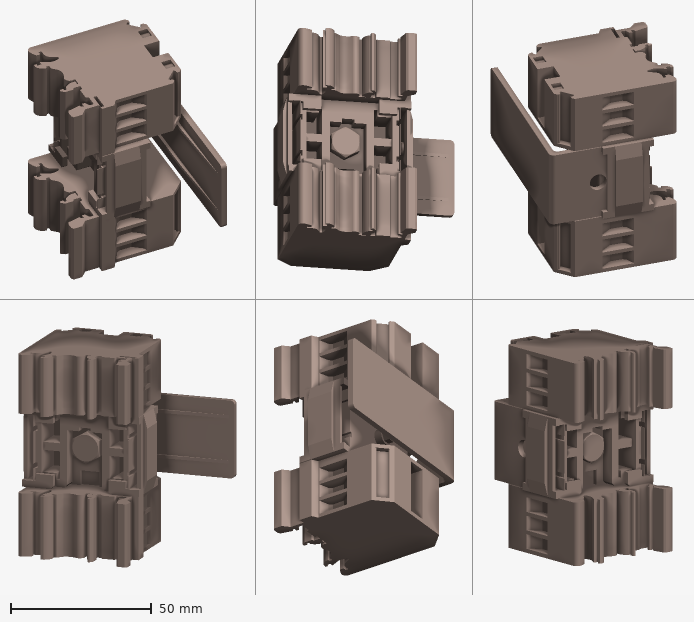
import cadquery as cq
import math


BLOCK_WIDTH = 40.1
BLOCK_DEPTH = 36.3
BLOCK_CHAMFER = 5.9
MODULE_COUNT = 3
MODULE_PITCH = 6.7
END_PLATE = 1.5
MODULES_HEIGHT = MODULE_COUNT * MODULE_PITCH
FOOT_ROOT_Y = 0.75
FOOT_SIDE = 42.45

OPENING_WALL = 1.4
OPENING_HEIGHT = MODULE_PITCH - OPENING_WALL
OPENING_CEILING_DROP = 0.6
OPENING_PROFILE = [(0, 8.25), (3.25, 9.95), (4.0, 11.3), (4.0, 16.0), (1.3, 19.6), (0, 20.1)]

LABEL_WIDTH = 5.3
LABEL_DEPTH = 2.35
LABEL_LIP_RADIUS = 0.5

SCREW_DIAMETER = 4.3
SCREW_SINK = 0.75
WINDOW_WIDTH = 4.1
WINDOW_LENGTH = 3.6
SCREW_FRONT_Y = 31.7
SCREW_CENTERS_X = (10.3, 29.6)
NOTCH_X = 16.3
NOTCH_WIDTH = 7.45
NOTCH_DEPTH = 6.05

SLOT_X = (35.0, 41.35)
SLOT_Y = (1.55, 2.8)

CARRIER_HEIGHT = 29.05
FLANGE_OVERHANG = 1.6
CARRIER_WIDTH = 44.3
CARRIER_BACK_Y = 20.4
CORE_FRONT_Y = 5.45
FLANGE_FRONT_Y = 3.3
CARRIER_CENTER_X = CARRIER_WIDTH / 2 - FLANGE_OVERHANG
FLANGE_BACK_Y = 18.7
FLANGE_WINDOW = 23.7

PAD_OUTER_Y = 1.4
PAD_LENGTH = 11.65
PAD_STEP_X = 3.55
PAD_CORNER = 0.9
PAD_BAR = 2.6
PAD_FULL = 5.1

SIDE_SLOT_X = (-0.2, 2.4)
SIDE_SLOT_HEIGHT = 24.2
SLOT_RIM = 0.2
SIDE_NOTCH_DEPTH = PAD_STEP_X - SIDE_SLOT_X[1]
SIDE_NOTCH_HEIGHT = 1.9
SIDE_NOTCH_Z = 6.8

CORE_POCKET_X = (4.95, 11.1)
CORE_POCKET_Z = (1.5, 9.5)
CORE_POCKET_DEPTH = 10.3
CORE_POCKET_LEDGE_X = (9.95, 11.1)
CORE_POCKET_LEDGE_Z = 12.0

BUMP_OVERHANG = 1.3
BUMP_Y = (6.05, 16.0)
BUMP_TIP_HEIGHT = 19.0

STUD_DIAMETER = 5.0
STUD_LENGTH = 0.9
STUD_Y = 11.05

BOLT_X = 20.05
BOLT_POCKET_WIDTH = 13.3
BOLT_POCKET_TOP = 6.5
BOLT_POCKET_CORNER = 0.95
BOLT_POCKET_DEPTH = 5.3
BOLT_TAB_WIDTH = 4.4
BOLT_TAB_HEIGHT = 1.4
BOLT_POCKET_FLOOR_Y = CORE_FRONT_Y + BOLT_POCKET_DEPTH
HEAD_ACROSS_FLATS = 10.1
HEAD_FACE_DIAMETER = 9.7
HEAD_HEIGHT = 3.3
HEAD_CHAMFER_ANGLE = 30
SHANK_DIAMETER = 6.5
SHANK_END_Y = 23.3
TIP_ACROSS_CORNERS = 5.2
TIP_LENGTH = 2.2
RECESS_WIDTH = 7.2
RECESS_HEIGHT = 5.4
RECESS_DEPTH = 1.5

PLATE = 2.2
BRACKET_LENGTH = 65.2
BRACKET_BACK_Y = 39.65
BRACKET_HEIGHT = 28.45
BRACKET_BEND_RADIUS = 1.9
BRACKET_CORNER_RADIUS = 1.5
LEG_TAB_HEIGHT = 23.4
LEG_TAB_END_Y = 14.75
LEG_TAB_BEVEL = 1.1
LEG_HOLE_DIAMETER = 6.3
LEG_HOLE_Y = 21.75
RIB_TAPER_X = (33.9, 63.1)
RIB_HEIGHT = 1.1
RIB_GUSSET = 3.7
RIB_WIDTH = 1.2
RIB_Z = 8.25


def box(x, y, z):
    """Box from the (low, high) limits on each axis."""
    size = [high - low for low, high in (x, y, z)]
    return cq.Workplane("XY").box(*size, centered=False).translate((x[0], y[0], z[0]))


def both_sides(shape):
    """The shape together with its mirror image across the carrier's middle X plane."""
    return shape.union(shape.mirror("YZ", (CARRIER_CENTER_X, 0, 0)))


def body_outline():
    """Body of a block without its feet, with the foot hinge on the right."""
    return cq.Workplane("XY").polyline([
        (0, 0),
        (0, BLOCK_DEPTH - BLOCK_CHAMFER),
        (BLOCK_CHAMFER, BLOCK_DEPTH),
        (BLOCK_WIDTH - BLOCK_CHAMFER, BLOCK_DEPTH),
        (BLOCK_WIDTH, BLOCK_DEPTH - BLOCK_CHAMFER),
        (BLOCK_WIDTH, 7.8),
        (FOOT_SIDE, 6.35),
        (FOOT_SIDE, 1.4),
        (BLOCK_WIDTH, 1.4),
        (BLOCK_WIDTH, 0),
    ]).close()


def left_hook():
    """Rounded hook and forked foot at the left, up to the arched underside."""
    return (
        cq.Workplane("XY").moveTo(0, FOOT_ROOT_Y).lineTo(0, -6.05)
        .threePointArc((0.5, -7.6), (1.9, -8.1))
        .threePointArc((3.55, -7.5), (5.1, -6.55))
        .lineTo(5.1, -5.1).lineTo(3.7, -5.1).lineTo(3.7, -4.0).lineTo(5.6, -4.0)
        .threePointArc((6.9, -3.55), (7.95, -2.6))
        .lineTo(9.2, 0).lineTo(10.0, 0)
        .threePointArc((10.6, -1.7), (10.55, -3.7))
        .lineTo(9.0, -7.15).lineTo(10.4, -7.15).lineTo(10.4, -8.7)
        .lineTo(9.5, -8.7).lineTo(9.5, -9.7).lineTo(10.75, -9.7)
        .threePointArc((12.45, -8.3), (13.1, -6.3))
        .lineTo(12.3, -6.3).lineTo(12.3, -5.1).lineTo(13.9, -5.1).lineTo(15.8, -3.1)
        .threePointArc((18.05, -2.4), (20.5, -3.2))
        .threePointArc((22.6, -2.8), (23.15, -0.75))
        .lineTo(23.15, FOOT_ROOT_Y).close()
    )


def middle_foot():
    """Slim hooked foot in the middle."""
    return (
        cq.Workplane("XY").moveTo(24.3, -0.45)
        .threePointArc((24.55, -2.95), (26.2, -5.1))
        .lineTo(27.1, -5.1).lineTo(27.1, -6.1).lineTo(26.3, -6.1).lineTo(26.3, -7.2)
        .lineTo(26.6, -7.6).lineTo(27.3, -7.6)
        .lineTo(28.2, -6.1).lineTo(28.2, -3.1).lineTo(27.4, -2.6)
        .lineTo(27.4, 0).lineTo(25.9, 0).lineTo(25.9, -0.45).close()
    )


def rail_rest():
    """Shallow rest between the middle foot and the release foot."""
    return cq.Workplane("XY").polyline([(29.2, 0), (29.4, -1.0), (34.3, -1.0), (34.65, 0)]).close()


def release_foot():
    """Springy release foot at the right."""
    return cq.Workplane("XY").polyline([
        (38.3, 0), (38.7, -0.3), (38.7, -1.7), (36.8, -2.65), (36.8, -3.75), (38.3, -3.75),
        (38.1, -4.7), (37.3, -5.0), (38.3, -9.7), (39.1, -10.25), (41.5, -10.25),
        (FOOT_SIDE, -9.65), (FOOT_SIDE, -6.35), (BLOCK_WIDTH, -4.05), (BLOCK_WIDTH, 0),
    ]).close()


def block_prism(height):
    """Full block section, feet included, standing on Z = 0."""
    prism = body_outline().extrude(height)
    for foot in (left_hook(), middle_foot(), rail_rest(), release_foot()):
        prism = prism.union(foot.extrude(height))
    return prism


def label_groove():
    """Groove in the left chamfered corner, with a round lip on each side wall."""
    groove = cq.Workplane("XY").rect(LABEL_WIDTH, 2 * LABEL_DEPTH).extrude(MODULES_HEIGHT)
    lips = (
        cq.Workplane("XY")
        .pushPoints([(-LABEL_WIDTH / 2, -LABEL_DEPTH / 3), (LABEL_WIDTH / 2, -LABEL_DEPTH / 3)])
        .circle(LABEL_LIP_RADIUS).extrude(MODULES_HEIGHT)
    )
    middle = BLOCK_CHAMFER / 2
    return (
        groove.cut(lips)
        .rotate((0, 0, 0), (0, 0, 1), 45)
        .translate((middle, BLOCK_DEPTH - middle, 0))
    )


def mirror_in_block(shape):
    return shape.mirror("YZ", (BLOCK_WIDTH / 2, 0, 0))


def wire_opening():
    """Funnel in the left side, with a ceiling that slopes down inwards."""
    funnel = cq.Workplane("XY").polyline(OPENING_PROFILE).close().extrude(OPENING_HEIGHT)
    depth = max(x for x, _ in OPENING_PROFILE)
    under_ceiling = (
        cq.Workplane("XZ")
        .polyline([(0, 0), (0, OPENING_HEIGHT), (depth, OPENING_HEIGHT - OPENING_CEILING_DROP), (depth, 0)])
        .close().extrude(-BLOCK_DEPTH)
    )
    return funnel.intersect(under_ceiling)


def screw_window():
    """Window in the top face that bares the upper half of a screw lying along Y."""
    axis_z = -SCREW_SINK - SCREW_DIAMETER / 2
    window = box((-WINDOW_WIDTH / 2, WINDOW_WIDTH / 2), (0, WINDOW_LENGTH), (axis_z, 0))
    screw = (
        cq.Workplane("XZ", origin=(0, 0, axis_z))
        .circle(SCREW_DIAMETER / 2).extrude(-WINDOW_LENGTH)
    )
    return window.cut(screw)


def terminal_modules():
    """Stack of terminal modules, standing on Z = 0."""
    stack = block_prism(MODULES_HEIGHT)

    groove = label_groove()
    stack = stack.cut(groove).cut(mirror_in_block(groove))

    for index in range(MODULE_COUNT):
        opening = wire_opening().translate((0, 0, index * MODULE_PITCH))
        stack = stack.cut(opening).cut(mirror_in_block(opening))

    for center_x in SCREW_CENTERS_X:
        stack = stack.cut(screw_window().translate((center_x, SCREW_FRONT_Y, MODULES_HEIGHT)))

    stack = stack.cut(box(
        (NOTCH_X, NOTCH_X + NOTCH_WIDTH),
        (BLOCK_DEPTH - NOTCH_DEPTH, BLOCK_DEPTH),
        (0, MODULES_HEIGHT),
    ))
    return stack.cut(box(SLOT_X, SLOT_Y, (0, MODULES_HEIGHT)))


def end_plate():
    return block_prism(END_PLATE)


def carrier_flange():
    """Left flange with its lowered middle part and the tapered bump on its side."""
    half = CARRIER_HEIGHT / 2
    window = FLANGE_WINDOW / 2
    left = -FLANGE_OVERHANG
    flange = box((left, SIDE_SLOT_X[1]), (FLANGE_FRONT_Y, CARRIER_BACK_Y), (-half, half))
    flange = flange.cut(box((left, 0), (FLANGE_BACK_Y, CARRIER_BACK_Y), (-window, window)))
    tip = left - BUMP_OVERHANG
    bump = (
        cq.Workplane("XZ", origin=(0, BUMP_Y[0], 0))
        .polyline([(left, -half), (tip, -BUMP_TIP_HEIGHT / 2), (tip, BUMP_TIP_HEIGHT / 2), (left, half)])
        .close().extrude(BUMP_Y[0] - BUMP_Y[1])
    )
    return flange.union(bump)


def carrier_pad(side):
    """L-shaped pad on the front; side is 1 for the upper and -1 for the lower one."""
    half = CARRIER_HEIGHT / 2
    left = -FLANGE_OVERHANG
    right = left + PAD_LENGTH
    depth = (PAD_OUTER_Y, FLANGE_FRONT_Y)
    bar = box((left, right), depth, (half - PAD_BAR, half))
    step = box((PAD_STEP_X, right), depth, (half - PAD_FULL, half))
    pad = bar.union(step)
    if side > 0:
        return pad
    return pad.mirror("XY").edges("|Y and >X and <Z").chamfer(PAD_CORNER)


def slot_wall():
    """Stepped wall along the inner edge of the left slot; its thin rim is level with the pads."""
    half = CARRIER_HEIGHT / 2
    wall = box((SIDE_SLOT_X[1], CORE_POCKET_X[0]), (FLANGE_FRONT_Y, CORE_FRONT_Y), (-half, half))
    rim = box((SIDE_SLOT_X[1], SIDE_SLOT_X[1] + SLOT_RIM), (PAD_OUTER_Y, FLANGE_FRONT_Y), (-half, half))
    return wall.union(rim)


def left_side_cuts():
    """Slot for the bracket tab and the two blind pockets, on the left half."""
    slot_half = SIDE_SLOT_HEIGHT / 2
    cuts = box(SIDE_SLOT_X, (0, CARRIER_BACK_Y), (-slot_half, slot_half))
    depth = (CORE_FRONT_Y, CORE_FRONT_Y + CORE_POCKET_DEPTH)
    for side in (1, -1):
        notch_z = side * SIDE_NOTCH_Z
        cuts = cuts.union(box(
            (SIDE_SLOT_X[1], SIDE_SLOT_X[1] + SIDE_NOTCH_DEPTH),
            (0, CARRIER_BACK_Y),
            (notch_z - SIDE_NOTCH_HEIGHT / 2, notch_z + SIDE_NOTCH_HEIGHT / 2),
        ))
        pocket = box(CORE_POCKET_X, depth, CORE_POCKET_Z)
        pocket = pocket.union(box(CORE_POCKET_LEDGE_X, depth, (CORE_POCKET_Z[0], CORE_POCKET_LEDGE_Z)))
        cuts = cuts.union(pocket if side > 0 else pocket.mirror("XY"))
    return cuts


def flange_stud():
    """Short round stud that points inwards from the right flange."""
    flange_inner_x = 2 * CARRIER_CENTER_X - SIDE_SLOT_X[0]
    return (
        cq.Workplane("YZ", origin=(flange_inner_x - STUD_LENGTH, STUD_Y, 0))
        .circle(STUD_DIAMETER / 2).extrude(STUD_LENGTH)
    )


def bolt_pocket():
    """Front pocket around the bolt head, open and flared at the bottom, with a tab on top."""
    half = BOLT_POCKET_WIDTH / 2
    bottom = -CARRIER_HEIGHT / 2
    depth = (CORE_FRONT_Y, BOLT_POCKET_FLOOR_Y)
    center = CARRIER_CENTER_X
    pocket = box((center - half, center + half), depth, (bottom, BOLT_POCKET_TOP))
    tab = box(
        (center - BOLT_TAB_WIDTH / 2, center + BOLT_TAB_WIDTH / 2),
        depth,
        (0, BOLT_POCKET_TOP + BOLT_TAB_HEIGHT),
    )
    flare = (
        cq.Workplane("XZ", origin=(center, CORE_FRONT_Y, bottom))
        .polyline([
            (-half - BOLT_POCKET_CORNER, 0), (half + BOLT_POCKET_CORNER, 0),
            (half, BOLT_POCKET_CORNER), (-half, BOLT_POCKET_CORNER),
        ])
        .close().extrude(-BOLT_POCKET_DEPTH)
    )
    return pocket.union(tab).union(flare)


def bolt():
    """Chamfered hexagon head, round shank and hexagonal tip, along Y."""
    corner_diameter = HEAD_ACROSS_FLATS / math.cos(math.pi / 6)
    front_y = BOLT_POCKET_FLOOR_Y - HEAD_HEIGHT
    head = (
        cq.Workplane("XZ").polygon(6, corner_diameter).extrude(-HEAD_HEIGHT)
        .rotate((0, 0, 0), (0, 1, 0), 30)
    )
    face_radius = HEAD_FACE_DIAMETER / 2
    rim_radius = corner_diameter / 2
    bevel = (rim_radius - face_radius) * math.tan(math.radians(HEAD_CHAMFER_ANGLE))
    turned = (
        cq.Workplane("XY")
        .polyline([
            (0, 0), (face_radius, 0), (rim_radius, bevel),
            (rim_radius, HEAD_HEIGHT), (0, HEAD_HEIGHT),
        ])
        .close().revolve(360, (0, 0, 0), (0, 1, 0))
    )
    shank = cq.Workplane("XZ").circle(SHANK_DIAMETER / 2).extrude(-(SHANK_END_Y - front_y))
    tip = (
        cq.Workplane("XZ", origin=(0, SHANK_END_Y - front_y, 0))
        .polygon(6, TIP_ACROSS_CORNERS).extrude(-TIP_LENGTH)
    )
    return head.intersect(turned).union(shank).union(tip).translate((BOLT_X, front_y, 0))


def carrier():
    half = CARRIER_HEIGHT / 2
    inner = SIDE_SLOT_X[1]
    core = box(
        (inner, 2 * CARRIER_CENTER_X - inner),
        (CORE_FRONT_Y, CARRIER_BACK_Y),
        (-half, half),
    )
    core = core.union(both_sides(carrier_flange()))
    core = core.union(both_sides(slot_wall()))
    for side in (1, -1):
        core = core.union(both_sides(carrier_pad(side)))
    core = core.cut(both_sides(left_side_cuts())).cut(bolt_pocket())
    recess = box(
        (CARRIER_CENTER_X - RECESS_WIDTH / 2, CARRIER_CENTER_X + RECESS_WIDTH / 2),
        (BOLT_POCKET_FLOOR_Y, BOLT_POCKET_FLOOR_Y + RECESS_DEPTH),
        (-half, RECESS_HEIGHT - half),
    )
    return core.cut(recess).union(flange_stud()).union(bolt())


def make_housing():
    """Carrier with a terminal block above it and another one below it."""
    upper_z = CARRIER_HEIGHT / 2
    lower_top_z = -upper_z
    lower_modules_z = lower_top_z - END_PLATE - MODULES_HEIGHT
    housing = carrier()
    for plate_z in (upper_z, lower_top_z - END_PLATE, lower_modules_z - END_PLATE):
        housing = housing.union(end_plate().translate((0, 0, plate_z)))
    for modules_z in (upper_z + END_PLATE, lower_modules_z):
        housing = housing.union(terminal_modules().translate((0, 0, modules_z)))
    return housing


def make_bracket():
    """Angle plate whose leg has a tab that reaches into the left carrier slot."""
    half = BRACKET_HEIGHT / 2
    plate_front_y = BRACKET_BACK_Y - PLATE
    bracket = (
        cq.Workplane("XY", origin=(0, 0, -half))
        .polyline([
            (0, CARRIER_BACK_Y), (0, BRACKET_BACK_Y), (BRACKET_LENGTH, BRACKET_BACK_Y),
            (BRACKET_LENGTH, plate_front_y), (PLATE, plate_front_y), (PLATE, CARRIER_BACK_Y),
        ])
        .close().extrude(BRACKET_HEIGHT)
    )
    bracket = bracket.edges("|Z and <X and >Y").fillet(BRACKET_BEND_RADIUS)
    inner_bend = cq.selectors.NearestToPointSelector((PLATE, plate_front_y, 0))
    bracket = bracket.edges("|Z").edges(inner_bend).fillet(BRACKET_BEND_RADIUS)
    bracket = bracket.edges("|Y and >X").fillet(BRACKET_CORNER_RADIUS)

    tab = (
        cq.Workplane("XY", origin=(0, 0, -LEG_TAB_HEIGHT / 2))
        .polyline([
            (0, CARRIER_BACK_Y), (PLATE, CARRIER_BACK_Y), (PLATE, LEG_TAB_END_Y),
            (LEG_TAB_BEVEL, LEG_TAB_END_Y), (0, LEG_TAB_END_Y + PLATE),
        ])
        .close().extrude(LEG_TAB_HEIGHT)
    )
    hole = (
        cq.Workplane("YZ", origin=(0, LEG_HOLE_Y, 0))
        .circle(LEG_HOLE_DIAMETER / 2).extrude(PLATE)
    )
    bracket = bracket.union(tab).cut(hole)

    rib_front_y = plate_front_y - RIB_HEIGHT
    rib_root_x = PLATE / 2
    rib_root_y = plate_front_y + PLATE / 2
    for rib_z in (RIB_Z, -RIB_Z):
        rib = (
            cq.Workplane("XY", origin=(0, 0, rib_z - RIB_WIDTH / 2))
            .polyline([
                (rib_root_x, rib_root_y),
                (rib_root_x, rib_front_y - RIB_GUSSET),
                (PLATE, rib_front_y - RIB_GUSSET),
                (PLATE + RIB_GUSSET, rib_front_y),
                (RIB_TAPER_X[0], rib_front_y),
                (RIB_TAPER_X[1], plate_front_y),
                (RIB_TAPER_X[1], rib_root_y),
            ])
            .close().extrude(RIB_WIDTH)
        )
        bracket = bracket.union(rib)
    return bracket


housing = make_housing()
bracket = make_bracket()
result = cq.Compound.makeCompound([housing.val(), bracket.val()])